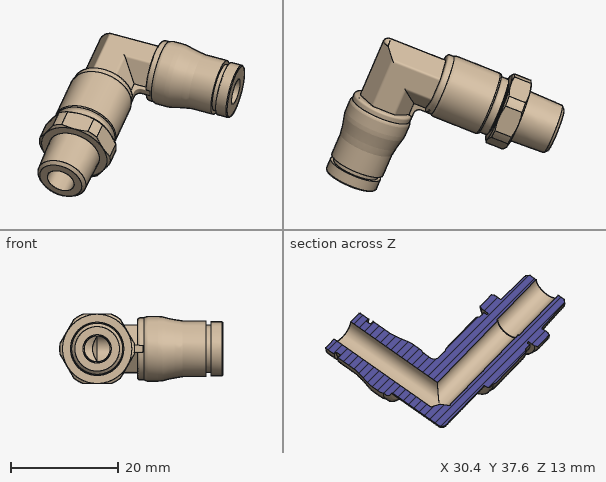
import cadquery as cq
import math


collar_start = 7.47
collar_face_radius = 5.05
collar_lead, collar_lead_radius = 7.53, 5.37
collar_round_end = 8.0
collar_radius = 5.8
collar_round_width = collar_radius - collar_lead_radius
collar_round_length = collar_round_end - collar_lead
collar_round = (collar_round_width**2 + collar_round_length**2) / (2 * collar_round_width)
collar_step = 8.74
body_start = 9.4
body_radius = 6.05
step_bulge = 0.04

sleeve_taper_start = 11.35
shoulder_end, shoulder_radius = 12.25, 5.96
waist_start, waist_radius = 14.5, 5.44
sleeve_front, sleeve_radius = 15.97, 5.2
sleeve_end = 20.3
waist_blend_radius = 10.0
groove_radius = 4.45
ring_start, ring_radius = 21.2, 5.06
ring_chamfer = 0.18
branch_end = 23.42

swivel_end = 17.92
swivel_lip, swivel_lip_radius = 18.2, 5.95
lip_angle = math.radians(45)
neck_radius = 5.57
neck_fillet = 0.43
neck_end = 19.84
relief_radius = 4.9

hex_start = 20.12
hex_end = 24.05
hex_across_flats = 13.0
hex_corner_radius = 7.0
hex_face_radius = 6.46
hex_chamfer_angle = math.radians(30)
hex_chamfer_depth = hex_corner_radius - hex_face_radius
hex_chamfer = hex_chamfer_depth * math.tan(hex_chamfer_angle)

leg_end = 31.6
thread_gauge = 27.5
thread_gauge_radius = 4.864
thread_slope = 1 / 32
thread_chamfer = 0.6

elbow_half_height = 4.48
elbow_outer_vertex = 4.92
elbow_outer_flat = 2.15
elbow_inner_flat = 2.25
elbow_inner_edge = 5.1
elbow_edge_round = 0.65
elbow_nose_round = 1.2
elbow_corner_offset = 3.67

web_thickness = 1.38
web_edge_round = 0.17
web_offset = 5.83
web_end = 8.53
web_round = 1.1

stud_bore_radius = 2.64
elbow_bore_radius = 2.41
drill_point_angle = 120.0
drill_point_length = elbow_bore_radius / math.tan(math.radians(drill_point_angle / 2))


def to_branch(leg_shape):
    """Reflect a leg shape across the plane x = -y, which carries the leg onto the branch."""
    return leg_shape.mirror("YZ").rotate((0, 0, 0), (0, 0, 1), 90)


def start_collar():
    """Open half profile, running from the axis out to the full body radius."""
    return (
        cq.Workplane("XY")
        .moveTo(0, -collar_start)
        .lineTo(collar_face_radius, -collar_start)
        .lineTo(collar_lead_radius, -collar_lead)
        .radiusArc((collar_radius, -collar_round_end), collar_round)
        .lineTo(collar_radius, -collar_step)
        .sagittaArc((body_radius, -body_start), step_bulge)
    )


def revolve_about_leg(profile):
    return profile.close().revolve(360, (0, 0, 0), (0, 1, 0))


def make_swivel():
    """Swivel body: a 45 degree lip runs down to the neck through a concave fillet."""
    tangent_length = neck_fillet * math.tan(lip_angle / 2)
    cone_foot = swivel_lip + (swivel_lip_radius - neck_radius) / math.tan(lip_angle)
    cone_offset = tangent_length * math.sin(lip_angle)
    fillet_start = cone_foot - tangent_length * math.cos(lip_angle)
    fillet_end = cone_foot + tangent_length
    profile = (
        start_collar()
        .lineTo(body_radius, -swivel_end)
        .lineTo(swivel_lip_radius, -swivel_lip)
        .lineTo(neck_radius + cone_offset, -fillet_start)
        .radiusArc((neck_radius, -fillet_end), -neck_fillet)
        .lineTo(neck_radius, -neck_end)
        .lineTo(relief_radius, -neck_end)
        .lineTo(relief_radius, -hex_start)
        .lineTo(0, -hex_start)
    )
    return revolve_about_leg(profile)


def make_sleeve():
    """Push-in sleeve with its grooved release ring, on the branch axis."""
    profile = (
        start_collar()
        .lineTo(body_radius, -sleeve_taper_start)
        .tangentArcPoint((shoulder_radius, -shoulder_end), relative=False)
        .lineTo(waist_radius, -waist_start)
        .radiusArc((sleeve_radius, -sleeve_front), waist_blend_radius)
        .lineTo(sleeve_radius, -sleeve_end)
        .lineTo(groove_radius, -sleeve_end)
        .lineTo(groove_radius, -ring_start)
        .lineTo(ring_radius, -ring_start)
        .lineTo(ring_radius, -branch_end + ring_chamfer)
        .lineTo(ring_radius - ring_chamfer, -branch_end)
        .lineTo(0, -branch_end)
    )
    return to_branch(revolve_about_leg(profile))


def make_nut():
    """Hexagon with flats facing +Z and -Z, its corners turned round and chamfered."""
    across_corners = hex_across_flats / math.cos(math.pi / 6)
    hexagon = (
        cq.Workplane("XZ", origin=(0, -hex_start, 0))
        .polygon(6, across_corners)
        .extrude(hex_end - hex_start)
    )
    turned = (
        cq.Workplane("XZ", origin=(0, -hex_start, 0))
        .circle(hex_corner_radius)
        .extrude(hex_end - hex_start)
        .faces("<Y or >Y")
        .chamfer(hex_chamfer, hex_chamfer_depth)
    )
    return hexagon.intersect(turned)


def thread_radius(distance):
    return thread_gauge_radius + (thread_gauge - distance) * thread_slope


def make_thread():
    """Plain tapered cone in place of the thread, chamfered at the tip."""
    chamfer_start = leg_end - thread_chamfer
    profile = (
        cq.Workplane("XY")
        .moveTo(0, -hex_end)
        .lineTo(thread_radius(hex_end), -hex_end)
        .lineTo(thread_radius(chamfer_start), -chamfer_start)
        .lineTo(thread_radius(chamfer_start) - thread_chamfer, -leg_end)
        .lineTo(0, -leg_end)
    )
    return revolve_about_leg(profile)


def make_elbow_leg():
    """Leg half of the elbow, mitred on the plane x = -y, with the outer corner left open."""
    inner_half = web_thickness / 2
    upper = [
        (-elbow_outer_flat, elbow_half_height),
        (elbow_inner_flat, elbow_half_height),
        (elbow_inner_edge, inner_half),
    ]
    lower = [(u, -z) for u, z in reversed(upper)]
    bar = (
        cq.Workplane("XZ", origin=(0, elbow_corner_offset, 0))
        .polyline([(-elbow_outer_vertex, 0)] + upper + lower)
        .close()
        .extrude(elbow_corner_offset + body_start)
    )
    bar = bar.edges("|Y").edges("<X").fillet(elbow_nose_round)
    bar = bar.faces("<Z or >Z").edges("|Y").fillet(elbow_edge_round)
    reach = 2 * body_start
    leg_side = (
        cq.Workplane("XY", origin=(0, 0, -reach))
        .polyline([(-reach, reach), (reach, -reach), (-reach, -reach)])
        .close()
        .extrude(2 * reach)
    )
    return bar.intersect(leg_side)


def make_corner():
    """Rounded outer corner: the nose of the elbow section turned about a vertical axis."""
    rim_radius = elbow_outer_vertex - elbow_corner_offset
    slope = elbow_half_height / (elbow_outer_vertex - elbow_outer_flat)
    tip_height = rim_radius * slope
    return (
        cq.Workplane("XZ")
        .polyline([(0, -tip_height), (rim_radius, 0), (0, tip_height)])
        .close()
        .revolve(360, (0, 0, 0), (0, 1, 0))
        .edges("%CIRCLE")
        .fillet(elbow_nose_round)
        .translate((-elbow_corner_offset, elbow_corner_offset, 0))
    )


def make_web():
    """Thin plate filling the inside of the bend between the two collars."""
    return (
        cq.Workplane("XY", origin=(0, 0, -web_thickness / 2))
        .moveTo(0, 0)
        .lineTo(web_end, 0)
        .lineTo(web_end, -web_offset)
        .lineTo(web_offset + web_round, -web_offset)
        .radiusArc((web_offset, -web_offset - web_round), -web_round)
        .lineTo(web_offset, -web_end)
        .lineTo(0, -web_end)
        .close()
        .extrude(web_thickness)
        .faces("<Z or >Z")
        .edges()
        .fillet(web_edge_round)
    )


def make_drilling(depth):
    """Drilled hole along the leg axis, its conical point starting at the origin."""
    profile = (
        cq.Workplane("XY")
        .moveTo(0, drill_point_length)
        .lineTo(elbow_bore_radius, 0)
        .lineTo(elbow_bore_radius, -depth)
        .lineTo(0, -depth)
    )
    return revolve_about_leg(profile)


def make_stud_bore():
    return cq.Workplane("XZ", origin=(0, -hex_start, 0)).circle(stud_bore_radius).extrude(leg_end - hex_start)


elbow_leg = make_elbow_leg()
result = (
    elbow_leg
    .union(to_branch(elbow_leg))
    .union(make_corner())
    .union(make_web())
    .union(make_swivel())
    .union(make_sleeve())
    .union(make_nut())
    .union(make_thread())
    .cut(make_drilling(leg_end))
    .cut(to_branch(make_drilling(branch_end)))
    .cut(make_stud_bore())
)